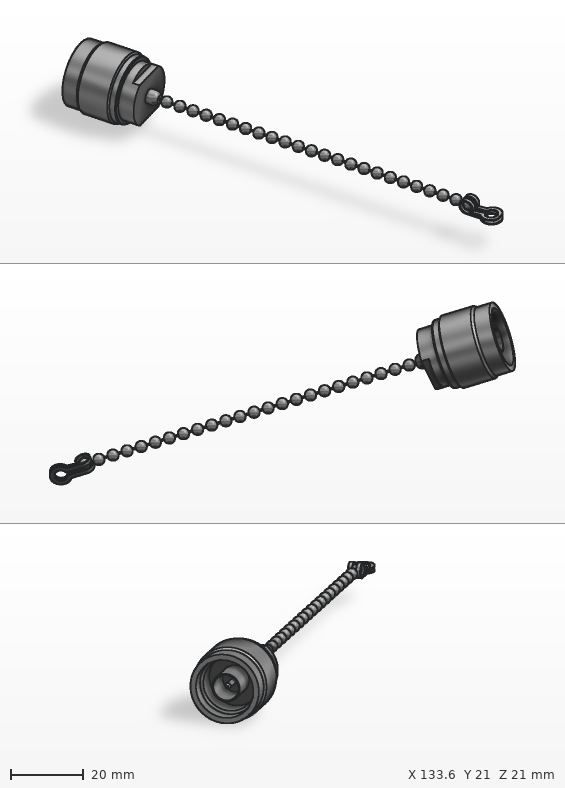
import cadquery as cq
import math

LENGTH = 133.6

GRIP_R = 21.0 / 2
RING_R = 9.9
NECK_R = 8.7
FRONT_RING_END = 4.5
GRIP_START = 5.3
GRIP_END = 14.6
REAR_RING_START = 15.0
REAR_RING_END = 17.1
REAR_CHAMFER_LENGTH = 0.4
REAR_CHAMFER_DEPTH = 0.1
FLAT_START = 19.8
CAP_END = 21.9
FLAT_HEIGHT = 7.0

MOUTH_R = 8.3
MOUTH_DEPTH = 3.9
BORE_R = 7.5
BORE_START = 4.4
FLOOR_DEPTH = 10.0
SLEEVE_R = 4.0
SLEEVE_BORE_R = 3.6
SLEEVE_START = 1.2
PIN_R = 0.8
PIN_START = 2.1
PIN_TIP_R = 0.4
PIN_TIP_LENGTH = 1.1

FERRULE_R = 2.1
DOME_START = 23.5
FERRULE_END = 25.3

BEAD_COUNT = 24
BEAD_R = 1.6
FIRST_BEAD_X = 27.5
LAST_BEAD_X = 123.5
BEAD_PITCH = (LAST_BEAD_X - FIRST_BEAD_X) / (BEAD_COUNT - 1)
WIRE_R = 0.3

SHEET = 0.4
WRAP_R = 4.4 / 2
WRAP_INNER_R = WRAP_R - SHEET
WRAP_END_ANGLE = math.radians(-57)
UPPER_TIP_X = 133.4
UPPER_TIP_Z = -0.8
EYE_R = 3.1
EYE_HOLE_R = 1.9
EYE_X = LENGTH - EYE_R
CLIP_HALF_WIDTH = 3.6 / 2
SLOT_HALF_WIDTH = 0.6


def revolve_about_x(outline):
    """Turn an outline of (x, radius) points around the X axis."""
    return outline.close().revolve(360, (0, 0, 0), (1, 0, 0))


def cylinder(radius, start, end):
    """A cylinder on the X axis between two X positions."""
    return cq.Workplane("YZ", origin=(start, 0, 0)).circle(radius).extrude(end - start)



def cap_shell():
    return revolve_about_x(
        cq.Workplane("XY").polyline([
            (0, MOUTH_R),
            (0, RING_R),
            (FRONT_RING_END, RING_R),
            (GRIP_START, GRIP_R),
            (GRIP_END, GRIP_R),
            (REAR_RING_START, RING_R),
            (REAR_RING_END - REAR_CHAMFER_LENGTH, RING_R),
            (REAR_RING_END, RING_R - REAR_CHAMFER_DEPTH),
            (REAR_RING_END, NECK_R),
            (CAP_END, NECK_R),
            (CAP_END, 0),
            (FLOOR_DEPTH, 0),
            (FLOOR_DEPTH, BORE_R),
            (BORE_START, BORE_R),
            (MOUTH_DEPTH, MOUTH_R),
        ])
    )


def cap_sleeve():
    outside = cylinder(SLEEVE_R, SLEEVE_START, FLOOR_DEPTH)
    return outside.cut(cylinder(SLEEVE_BORE_R, SLEEVE_START, FLOOR_DEPTH))


def cap_pin():
    return revolve_about_x(
        cq.Workplane("XY").polyline([
            (PIN_START, 0),
            (PIN_START, PIN_TIP_R),
            (PIN_START + PIN_TIP_LENGTH, PIN_R),
            (FLOOR_DEPTH, PIN_R),
            (FLOOR_DEPTH, 0),
        ])
    )


def neck_flats():
    """The material outside the two flats: a length of the neck without its middle slab."""
    flat_length = CAP_END - FLAT_START
    slab = cq.Workplane("XY").box(
        flat_length, 2 * GRIP_R, 2 * FLAT_HEIGHT, centered=(False, True, True)
    )
    return cylinder(GRIP_R, FLAT_START, CAP_END).cut(slab.translate((FLAT_START, 0, 0)))


def make_cap():
    return cap_shell().union(cap_sleeve()).union(cap_pin()).cut(neck_flats())



def make_ferrule():
    dome_length = FERRULE_END - DOME_START
    middle = dome_length / 2
    middle_r = math.sqrt(FERRULE_R**2 - middle**2)
    end_r = math.sqrt(FERRULE_R**2 - dome_length**2)
    return revolve_about_x(
        cq.Workplane("XY")
        .moveTo(CAP_END, 0)
        .lineTo(CAP_END, FERRULE_R)
        .lineTo(DOME_START, FERRULE_R)
        .threePointArc((DOME_START + middle, middle_r), (FERRULE_END, end_r))
        .lineTo(FERRULE_END, 0)
    )



def make_chain():
    chain = cylinder(WIRE_R, FERRULE_END, LAST_BEAD_X)
    for i in range(BEAD_COUNT):
        bead = cq.Workplane("XY").sphere(BEAD_R)
        chain = chain.union(bead.translate((FIRST_BEAD_X + i * BEAD_PITCH, 0, 0)))
    return chain



def clip_strip():
    """The folded strip at full width: lower leg, wrap and rising upper leg."""
    kink_x = LAST_BEAD_X + WRAP_INNER_R * math.cos(WRAP_END_ANGLE)
    kink_z = WRAP_INNER_R * math.sin(WRAP_END_ANGLE)
    slope = math.atan2(UPPER_TIP_Z - kink_z, UPPER_TIP_X - kink_x)
    leg_thickness = SHEET / math.cos(slope)
    face_z = kink_z + leg_thickness - (kink_x - LAST_BEAD_X) * math.tan(slope)
    leave_angle = slope + math.asin(face_z * math.cos(slope) / WRAP_R)
    leave_x = LAST_BEAD_X + WRAP_R * math.cos(leave_angle)
    leave_z = WRAP_R * math.sin(leave_angle)
    return (
        cq.Workplane("XZ", origin=(0, EYE_R, 0))
        .moveTo(LENGTH, -WRAP_R)
        .lineTo(LAST_BEAD_X, -WRAP_R)
        .threePointArc((LAST_BEAD_X, WRAP_R), (leave_x, leave_z))
        .lineTo(UPPER_TIP_X, UPPER_TIP_Z + leg_thickness)
        .lineTo(UPPER_TIP_X, UPPER_TIP_Z)
        .lineTo(kink_x, kink_z)
        .threePointArc((LAST_BEAD_X, WRAP_INNER_R), (LAST_BEAD_X, -WRAP_INNER_R))
        .lineTo(LENGTH, -WRAP_INNER_R)
        .close()
        .extrude(2 * EYE_R)
    )


def keyhole(half_width, eye_radius):
    """A prism along Z, taller than the clip, shaped in plan as a bar that ends in a round eye."""
    height = 4 * WRAP_R
    bar_start = LAST_BEAD_X - 2 * WRAP_R
    bar = cq.Workplane("XY").box(
        EYE_X - bar_start, 2 * half_width, height, centered=(False, True, True)
    )
    eye = cq.Workplane("XY").cylinder(height, eye_radius)
    return bar.translate((bar_start, 0, 0)).union(eye.translate((EYE_X, 0, 0)))


def make_clip():
    plan = keyhole(CLIP_HALF_WIDTH, EYE_R).cut(keyhole(SLOT_HALF_WIDTH, EYE_HOLE_R))
    return clip_strip().intersect(plan)


cap = make_cap()
ferrule = make_ferrule()
chain = make_chain()
clip = make_clip()
result = cq.Compound.makeCompound([cap.val(), ferrule.val(), chain.val(), clip.val()])